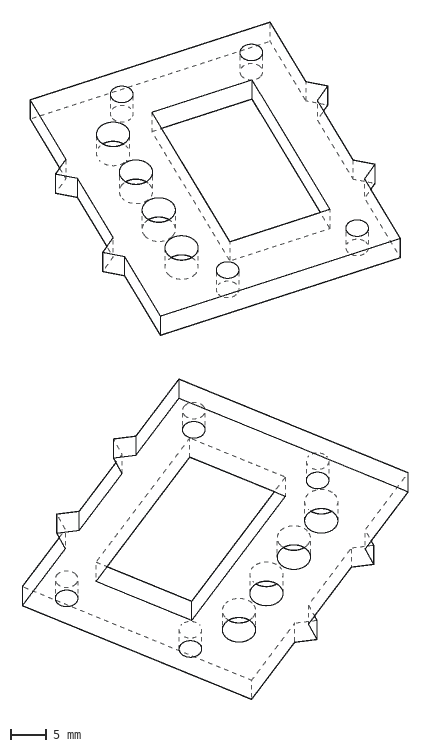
import cadquery as cq

plate_length = 45.5
overall_width = 42.0
thickness = 4.0

tooth_height = 2.5
tooth_base = 4.0
tooth_spacing = 16.45
plate_width = overall_width - 2 * tooth_height

window_length = 27.2
window_width = 15.42
window_center_y = 3.95

mount_diameter = 3.2
mount_spacing_x = 36.95
mount_spacing_y = 19.97
mount_center_y = 3.75

button_diameter = 4.7
button_count = 4
button_pitch = 7.95
button_row_y = -10.45


def make_tooth(center_x, side):
    """Tooth pointing outward from the +Y edge (side = 1) or the -Y edge (side = -1)."""
    edge_y = side * plate_width / 2
    tip_y = side * overall_width / 2
    corners = [
        (center_x - tooth_base / 2, edge_y),
        (center_x + tooth_base / 2, edge_y),
        (center_x, tip_y),
    ]
    return cq.Workplane("XY").polyline(corners).close().extrude(thickness)


def make_plate():
    """Rectangular plate with two teeth on each long edge."""
    plate = cq.Workplane("XY").rect(plate_length, plate_width).extrude(thickness)
    for side in (-1, 1):
        for center_x in (-tooth_spacing / 2, tooth_spacing / 2):
            plate = plate.union(make_tooth(center_x, side))
    return plate


def make_window():
    """Through opening for the display."""
    return (
        cq.Workplane("XY")
        .center(0, window_center_y)
        .rect(window_length, window_width)
        .extrude(thickness)
    )


def make_mount_holes():
    """Four through holes at the corners of a rectangle."""
    return (
        cq.Workplane("XY")
        .center(0, mount_center_y)
        .rect(mount_spacing_x, mount_spacing_y, forConstruction=True)
        .vertices()
        .circle(mount_diameter / 2)
        .extrude(thickness)
    )


def make_button_holes():
    """Evenly spaced row of through holes, centred in X."""
    return (
        cq.Workplane("XY")
        .center(0, button_row_y)
        .rarray(button_pitch, 0.45, button_count, 1)
        .circle(button_diameter / 2)
        .extrude(thickness)
    )


result = make_plate().cut(make_window()).cut(make_mount_holes()).cut(make_button_holes())